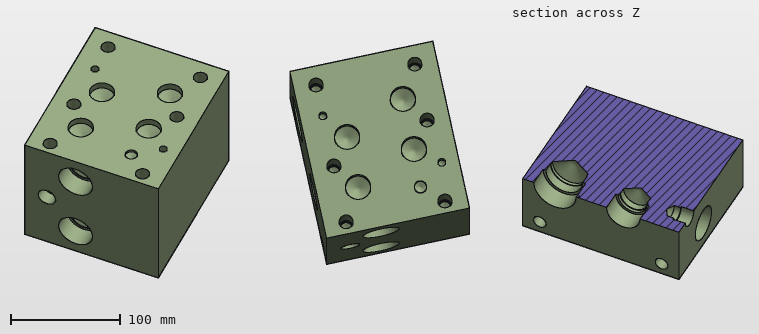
import cadquery as cq
import math

width, length, height = 133.4, 158.8, 120.6

drill_point_angle = 118.0

pattern_x, pattern_y = 20.6, 11.1
bolt_span_x, bolt_span_y = 92.0, 130.2
left_port_x, right_port_x = 17.5, 74.6
port_rows = [29.4, 53.2, 77.0, 100.8]
pilot_place = (73.0, 17.6)
pin_places = [(0.0, port_rows[3]), (96.8, 35.7)]
valve_port_diameter, valve_port_depth = 23.0, 6.8
pilot_diameter, pilot_depth = 11.1, 2.4
pin_diameter, pin_depth = 7.1, 8.0

thread_diameter, thread_depth = 12.7, 25.4
tap_diameter, tap_depth = 10.8, 30.2

port_depth = 19.2

work_port_x = 50.8
work_port_heights = [26.8, 93.7]
work_port_steps = [(33.7, port_depth), (28.5, 19.8)]
drain_place = (22.2, 60.0)
drain_steps = [(17.3, 12.7), (14.3, 19.0)]

supply_height = 60.0
tank_y, pressure_y = 125.7, 56.5
tank_steps = [(42.5, port_depth), (36.8, 28.5), (35.7, 31.8)]
pressure_steps = [(33.7, port_depth), (28.5, 22.2), (27.0, 28.5)]
side_bolt_margin = 17.6
side_bolt_height = 12.5


def stepped_drill(steps):
    """Solid of a hole along +Z from the origin: each step, then the drill point."""
    profile = [(0, 0)]
    start = 0
    for diameter, end in steps:
        profile += [(diameter / 2, start), (diameter / 2, end)]
        start = end
    last_radius = steps[-1][0] / 2
    point_length = last_radius / math.tan(math.radians(drill_point_angle / 2))
    profile.append((0, start + point_length))
    return cq.Workplane("XZ").polyline(profile).close().revolve(360, (0, 0), (0, 1))


def drill_down(body, steps, places):
    tool = stepped_drill(steps).rotate((0, 0, 0), (1, 0, 0), 180)
    for x, y in places:
        body = body.cut(tool.translate((x, y, height)))
    return body


def drill_front(body, steps, places):
    tool = stepped_drill(steps).rotate((0, 0, 0), (1, 0, 0), -90)
    for x, z in places:
        body = body.cut(tool.translate((x, 0, z)))
    return body


def drill_side(body, steps, places):
    tool = stepped_drill(steps).rotate((0, 0, 0), (0, 1, 0), 90)
    for y, z in places:
        body = body.cut(tool.translate((0, y, z)))
    return body


def on_pattern(places):
    return [(pattern_x + x, pattern_y + y) for x, y in places]


bolt_places = [(x, y) for x in (0.0, bolt_span_x) for y in (0.0, bolt_span_y)]
bolt_places += [(0.0, port_rows[1]), (bolt_span_x, port_rows[2])]
valve_port_places = [(left_port_x, port_rows[0]), (left_port_x, port_rows[2])]
valve_port_places += [(right_port_x, port_rows[1]), (right_port_x, port_rows[3])]
bolt_steps = [(thread_diameter, thread_depth), (tap_diameter, tap_depth)]

block = cq.Workplane("XY").box(width, length, height, centered=False)

block = drill_down(block, bolt_steps, on_pattern(bolt_places))
block = drill_down(block, [(valve_port_diameter, valve_port_depth)], on_pattern(valve_port_places))
block = drill_down(block, [(pilot_diameter, pilot_depth)], on_pattern([pilot_place]))
block = drill_down(block, [(pin_diameter, pin_depth)], on_pattern(pin_places))

block = drill_front(block, work_port_steps, [(work_port_x, z) for z in work_port_heights])
block = drill_front(block, drain_steps, [drain_place])

block = drill_side(block, tank_steps, [(tank_y, supply_height)])
block = drill_side(block, pressure_steps, [(pressure_y, supply_height)])
side_bolt_places = [(y, side_bolt_height) for y in (side_bolt_margin, length - side_bolt_margin)]
block = drill_side(block, bolt_steps, side_bolt_places)

result = block